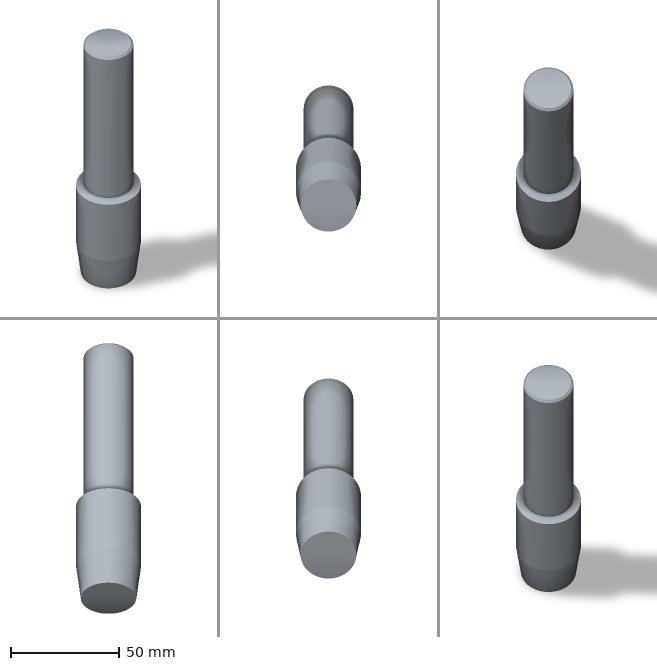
import cadquery as cq

total_height = 135.0
head_radius = 15.0
shank_radius = 11.5

nose_end_radius = 12.8
nose_height = 17.8
head_height = 52.4
shoulder_height = 1.2
shoulder_base_z = head_height - shoulder_height

rim_bevel = 1.1
shank_height = total_height - head_height


def make_head():
    """Head turned about Z, standing on the narrow end of its nose."""
    half_profile = (
        cq.Workplane("XZ")
        .moveTo(0, 0)
        .lineTo(nose_end_radius, 0)
        .lineTo(head_radius, nose_height)
        .lineTo(head_radius, shoulder_base_z)
        .lineTo(shank_radius, head_height)
        .lineTo(0, head_height)
        .close()
    )
    return half_profile.revolve(360, (0, 0, 0), (0, 1, 0))


def make_shank():
    """Round shank standing on the flat centre of the head's shoulder."""
    rod = cq.Workplane("XY", origin=(0, 0, head_height)).circle(shank_radius).extrude(shank_height)
    return rod.faces(">Z").edges().chamfer(rim_bevel)


head = make_head()
shank = make_shank()

result = cq.Compound.makeCompound([head.val(), shank.val()])